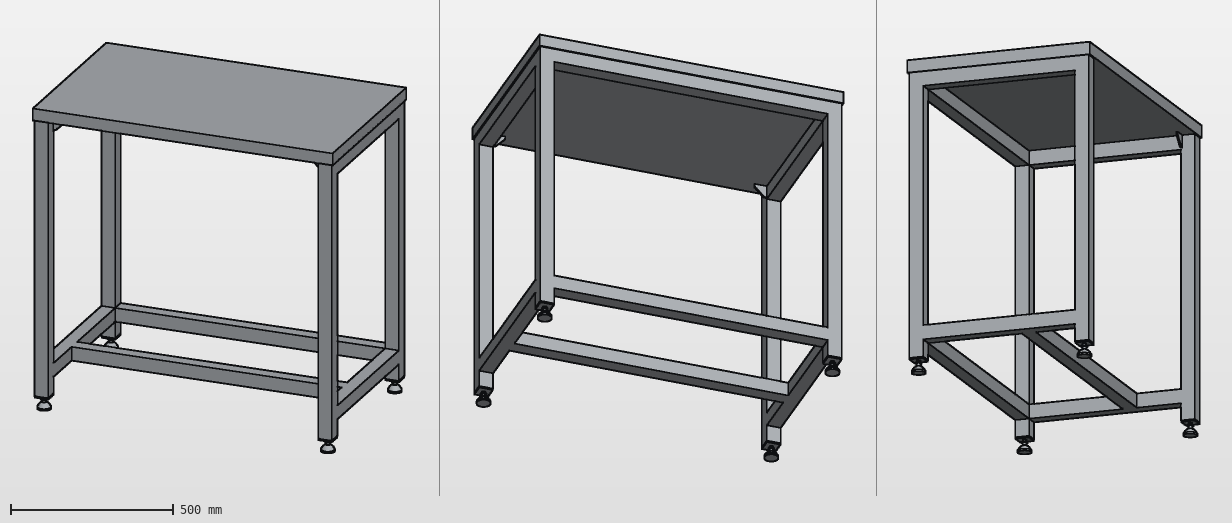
import cadquery as cq

LENGTH = 1000.0
WIDTH = 600.0
HEIGHT = 1000.0

TOP_THICKNESS = 40.0
FRAME_LENGTH = 992.0
FRAME_WIDTH = 591.0
BAR = 46.0
LEG_BOTTOM = 40.0
LOWER_RAIL_BOTTOM = 100.0
MIDDLE_RAIL_Y = -82.0

GUSSET_SIZE = 40.0
GUSSET_LIP = 9.0
GUSSET_THICKNESS = 5.0

CAP_THICKNESS = 5.0
CAP_INSET = 0.5
STEM_RADIUS = 6.0
WASHER_RADIUS = 10.0
WASHER_BOTTOM = 31.0
WASHER_THICKNESS = 2.0
PAD_RADIUS = 22.0
PAD_RIM_HEIGHT = 6.0
DOME_MIDDLE_RADIUS = 17.0
DOME_MIDDLE_HEIGHT = 14.0
DOME_TOP_RADIUS = 8.0
DOME_TOP_HEIGHT = 22.0

TOP_UNDERSIDE = HEIGHT - TOP_THICKNESS
UPPER_RAIL_BOTTOM = TOP_UNDERSIDE - BAR
LEG_X = (FRAME_LENGTH - BAR) / 2
LEG_Y = (FRAME_WIDTH - BAR) / 2
LEG_INNER_X = LEG_X - BAR / 2
SIDES = (-1, 1)


def block(size_x, size_y, size_z, x, y, bottom):
    """Box centred on (x, y) and standing on the given height."""
    base = cq.Workplane("XY", origin=(x, y, bottom))
    return base.box(size_x, size_y, size_z, centered=(True, True, False))


def long_rail(y, bottom):
    """Rail along X spanning between the two end frames."""
    return block(2 * LEG_X, BAR, BAR, 0, y, bottom)


def end_rail(x, bottom):
    """Rail along Y joining the front and back leg of one end."""
    return block(BAR, 2 * LEG_Y, BAR, x, 0, bottom)


def leg(x, y):
    """Square leg ending in a slightly narrower cap."""
    bar_bottom = LEG_BOTTOM + CAP_THICKNESS
    bar = block(BAR, BAR, TOP_UNDERSIDE - bar_bottom, x, y, bar_bottom)
    cap_side = BAR - 2 * CAP_INSET
    cap = block(cap_side, cap_side, CAP_THICKNESS, x, y, LEG_BOTTOM)
    return bar.union(cap)


def foot(x, y):
    """Levelling foot: a half profile revolved about the leg axis, standing on the floor."""
    washer_top = WASHER_BOTTOM + WASHER_THICKNESS
    profile = (
        cq.Workplane("XZ")
        .lineTo(PAD_RADIUS, 0)
        .lineTo(PAD_RADIUS, PAD_RIM_HEIGHT)
        .threePointArc((DOME_MIDDLE_RADIUS, DOME_MIDDLE_HEIGHT), (DOME_TOP_RADIUS, DOME_TOP_HEIGHT))
        .lineTo(STEM_RADIUS, DOME_TOP_HEIGHT)
        .lineTo(STEM_RADIUS, WASHER_BOTTOM)
        .lineTo(WASHER_RADIUS, WASHER_BOTTOM)
        .lineTo(WASHER_RADIUS, washer_top)
        .lineTo(STEM_RADIUS, washer_top)
        .lineTo(STEM_RADIUS, LEG_BOTTOM)
        .lineTo(0, LEG_BOTTOM)
        .close()
    )
    return profile.revolve(360, (0, 0), (0, 1)).translate((x, y, 0))


def gusset(side_x):
    """Upright corner plate under the top, flush with the back face of a front leg."""
    profile = [
        (0, 0),
        (GUSSET_SIZE, 0),
        (GUSSET_SIZE, -GUSSET_LIP),
        (GUSSET_LIP, -GUSSET_SIZE),
        (0, -GUSSET_SIZE),
    ]
    outline = [(side_x * (LEG_INNER_X - reach), TOP_UNDERSIDE + drop) for reach, drop in profile]
    plate = cq.Workplane("XZ", origin=(0, BAR / 2 - LEG_Y, 0)).polyline(outline).close()
    return plate.extrude(GUSSET_THICKNESS)


result = block(LENGTH, WIDTH, TOP_THICKNESS, 0, 0, TOP_UNDERSIDE)

for side_x in SIDES:
    frame_x = side_x * LEG_X
    result = result.union(end_rail(frame_x, UPPER_RAIL_BOTTOM))
    result = result.union(end_rail(frame_x, LOWER_RAIL_BOTTOM))
    for side_y in SIDES:
        result = result.union(leg(frame_x, side_y * LEG_Y))
        result = result.union(foot(frame_x, side_y * LEG_Y))
    result = result.union(gusset(side_x))

result = result.union(long_rail(LEG_Y, UPPER_RAIL_BOTTOM))
for rail_y in (MIDDLE_RAIL_Y, LEG_Y):
    result = result.union(long_rail(rail_y, LOWER_RAIL_BOTTOM))